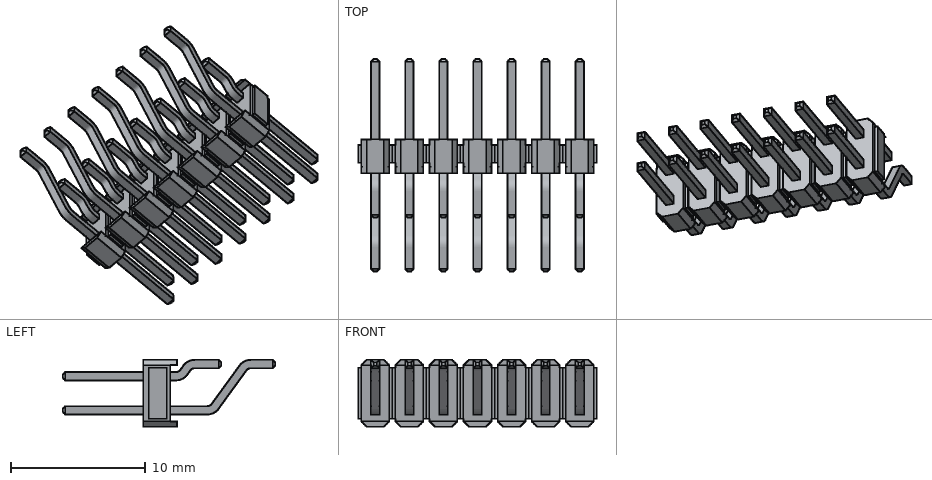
import cadquery as cq
import math

UNIT_COUNT = 7
ROW_LENGTH = 17.78
PITCH = ROW_LENGTH / UNIT_COUNT

HOUSING_WIDTH = 2.1
HOUSING_HEIGHT = 5.0
HOUSING_LENGTH = PITCH
HOUSING_CHAMFER = 0.41
FRONT_RECESS_DEPTH = 0.52

PAD_LENGTH = 1.35
PAD_HEIGHT = 3.8
PAD_BACK_INSET = 0.41

PIN_SIZE = 0.64
PIN_TIP_CHAMFER = 0.2
ROW_SPACING = PITCH
PIN_BACK_LENGTH = 6.0
BEND_ANGLE = 54.0
BEND_INSIDE_RADIUS = 0.4
BEND_RADIUS = BEND_INSIDE_RADIUS + PIN_SIZE / 2
TAIL_Z = (HOUSING_HEIGHT - PIN_SIZE) / 2
UPPER_PIN_END_Y = -5.83
UPPER_TAIL_LENGTH = 2.0
LOWER_PIN_END_Y = -9.85
LOWER_TAIL_LENGTH = 1.83


def make_housing():
    """Chamfered block, open at the front between its top and bottom lips, with side pads."""
    block = (
        cq.Workplane("XY")
        .box(HOUSING_WIDTH, HOUSING_LENGTH, HOUSING_HEIGHT)
        .edges("|Y")
        .chamfer(HOUSING_CHAMFER)
        .translate((0, -HOUSING_LENGTH / 2, 0))
    )
    recess = (
        cq.Workplane("XY")
        .box(HOUSING_WIDTH, FRONT_RECESS_DEPTH, HOUSING_HEIGHT - 2 * HOUSING_CHAMFER)
        .translate((0, FRONT_RECESS_DEPTH / 2 - HOUSING_LENGTH, 0))
    )
    pads = (
        cq.Workplane("XY")
        .box(PITCH, PAD_LENGTH, PAD_HEIGHT)
        .translate((0, -PAD_BACK_INSET - PAD_LENGTH / 2, 0))
    )
    return block.cut(recess).union(pads)


def make_pin(row_z, end_y, tail_length):
    """Square pin at height row_z that bends up to the tail height and ends level at end_y."""
    angle = math.radians(BEND_ANGLE)
    bend_dy = BEND_RADIUS * math.sin(angle)
    bend_dz = BEND_RADIUS * (1 - math.cos(angle))
    half_dy = BEND_RADIUS * math.sin(angle / 2)
    half_dz = BEND_RADIUS * (1 - math.cos(angle / 2))
    rise = TAIL_Z - row_z
    slope_dy = (rise - 2 * bend_dz) / math.tan(angle)
    bend_end_y = end_y + tail_length
    bend_start_y = bend_end_y + 2 * bend_dy + slope_dy

    path = (
        cq.Workplane("YZ")
        .moveTo(PIN_BACK_LENGTH, row_z)
        .lineTo(bend_start_y, row_z)
        .threePointArc(
            (bend_start_y - half_dy, row_z + half_dz),
            (bend_start_y - bend_dy, row_z + bend_dz),
        )
        .lineTo(bend_end_y + bend_dy, TAIL_Z - bend_dz)
        .threePointArc((bend_end_y + half_dy, TAIL_Z - half_dz), (bend_end_y, TAIL_Z))
        .lineTo(end_y, TAIL_Z)
    )
    pin = (
        cq.Workplane("XZ", origin=(0, PIN_BACK_LENGTH, row_z))
        .rect(PIN_SIZE, PIN_SIZE)
        .sweep(path)
    )
    return pin.faces("<Y or >Y").chamfer(PIN_TIP_CHAMFER)


def make_header_unit():
    """One solid: a housing with its upper and lower pins."""
    upper_pin = make_pin(ROW_SPACING / 2, UPPER_PIN_END_Y, UPPER_TAIL_LENGTH)
    lower_pin = make_pin(-ROW_SPACING / 2, LOWER_PIN_END_Y, LOWER_TAIL_LENGTH)
    return make_housing().union(upper_pin).union(lower_pin)


header_unit = make_header_unit()
header_units = []
for index in range(UNIT_COUNT):
    unit_x = (index - (UNIT_COUNT - 1) / 2) * PITCH
    header_units.append(header_unit.translate((unit_x, 0, 0)).val())

result = cq.Compound.makeCompound(header_units)